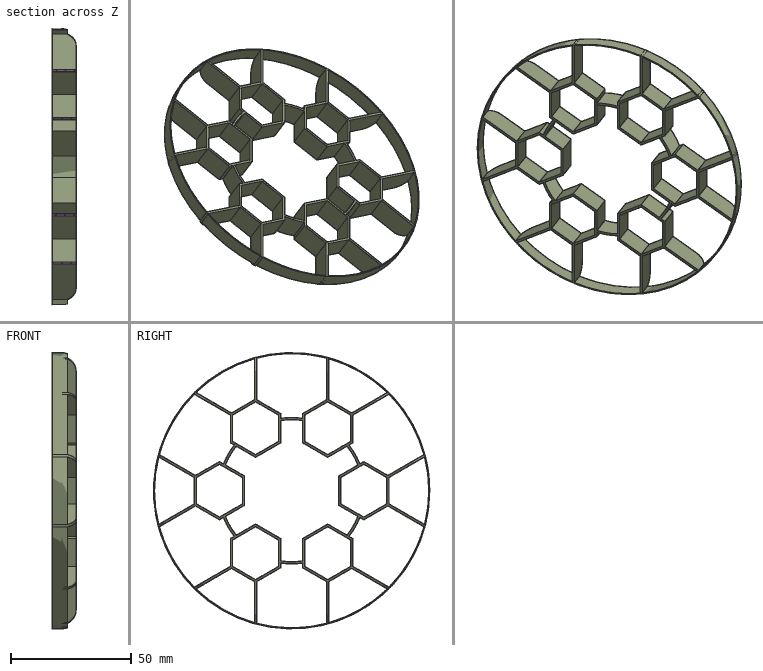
import cadquery as cq
import math

outer_diameter = 115.0
depth = 10.0
edge_radius = 6.0
rim_wall = 0.5

cell_count = 6
cell_circle_radius = 30.0
cell_across_flats = 20.0
web = 1.0

hexagon_sides = 6
corner_angle = 180 / hexagon_sides
corners_per_flats = 1 / math.cos(math.radians(corner_angle))
cell_angle = 360 / cell_count
outer_radius = outer_diameter / 2


def tube(outside_radius, wall):
    """Round tube over the full depth, centred on the disc axis."""
    return cq.Workplane("YZ").circle(outside_radius).circle(outside_radius - wall).extrude(depth)


def cell_plane(angle):
    """Workplane at the centre of the +Y cell, turned about X by the given angle."""
    return cq.Workplane("YZ").center(cell_circle_radius, 0).transformed(rotate=(0, 0, angle))


def cell_prism(across_flats):
    """Solid hexagon at the +Y cell, with two corners pointing along Z."""
    across_corners = across_flats * corners_per_flats
    return cell_plane(corner_angle).polygon(hexagon_sides, across_corners).extrude(depth)


def spoke(angle):
    """Web from a corner of the +Y cell outwards, long enough to pass beyond the rim."""
    start = cell_across_flats * corners_per_flats / 2
    length = outer_radius
    return cell_plane(angle).center(start + length / 2, 0).rect(length, web).extrude(depth)


def around_axis(body):
    """Join copies of a body at every cell position around the disc axis."""
    copies = body
    for i in range(1, cell_count):
        copies = copies.union(body.rotate((0, 0, 0), (1, 0, 0), i * cell_angle))
    return copies


envelope = cq.Workplane("YZ").circle(outer_radius).extrude(depth)
envelope = envelope.faces(">X").edges().fillet(edge_radius)

rim = tube(outer_radius, rim_wall)
inner_ring = tube(cell_circle_radius + web / 2, web)

cell = cell_prism(cell_across_flats + web)
cell = cell.union(spoke(corner_angle)).union(spoke(-corner_angle))

cell_opening = cell_prism(cell_across_flats - web)
lattice = inner_ring.union(around_axis(cell)).cut(around_axis(cell_opening))

result = rim.union(lattice).intersect(envelope)